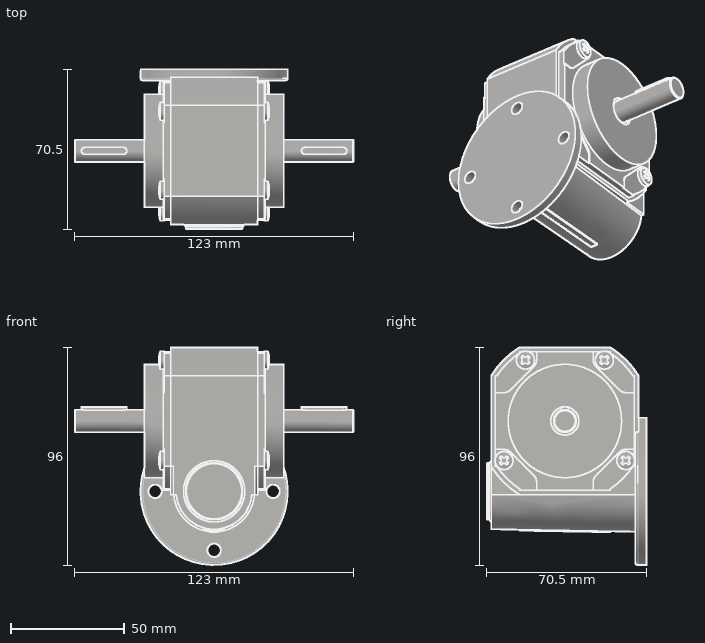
import cadquery as cq
import math


HOUSING_HALF_WIDTH = 19.2
HOUSING_HALF_SIZE = 32.5
CORNER_START = 20.0

COVER_HALF_SIZE = 30.6
COVER_CORNER_RADIUS = 36.0
COVER_FACE_X = 22.5
PAD_RECESS_DEPTH = 0.5
PAD_EDGE = 12.5
PAD_DIAGONAL_START = 25.2
PAD_FILLET = 4.0
HUB_DIAMETER = 50.0
HUB_FACE_X = 30.75
HUB_BORE_DIAMETER = 12.4
HUB_BORE_DEPTH = 0.8

SHAFT_DIAMETER = 10.0
SHAFT_LENGTH = 123.0
SHAFT_CHAMFER = 0.4
KEY_LENGTH = 20.0
KEY_WIDTH = 3.0
KEY_TOP_Z = 6.2
KEY_DEPTH = 3.0
KEY_END_GAP = 3.0

SCREW_NEAR = 17.4
SCREW_FAR = 26.85
SCREW_HEAD_DIAMETER = 8.0
SCREW_RIM_HEIGHT = 1.7
SCREW_DOME_HEIGHT = 0.75
RECESS_SPAN = 4.4
RECESS_ARM_WIDTH = 1.1
RECESS_CENTRE_SIZE = 2.6
RECESS_DEPTH = 1.2

INPUT_AXIS_Z = -31.0
BARREL_HALF_WIDTH = 18.0
BARREL_FRONT_RADIUS = 16.75
BARREL_DRAFT_ANGLE = 1.0
BARREL_RIB_LENGTH = 40.0
BARREL_RIB_WIDTH = 3.4
BARREL_RIB_HEIGHT = 0.4

FLANGE_DIAMETER = 65.0
FLANGE_FACE_Y = 36.0
FLANGE_THICKNESS = 5.0
FLANGE_FILLET = 1.0
FLANGE_HOLE_DIAMETER = 5.8
FLANGE_HOLE_CIRCLE_RADIUS = 26.0
FLANGE_HOLE_COUNT = 4

CAP_BASE_RADIUS = 13.5
CAP_RADIUS = 12.6
CAP_BASE_HEIGHT = 0.8
CAP_HEIGHT = 2.0
CAP_CHAMFER = 0.4


def rounded_block(half_size, corner_start, corner_radius, half_width):
    """Block centred on X whose square YZ outline is cut by a circle at the corners."""
    block = cq.Workplane("YZ").rect(2 * half_size, 2 * half_size).extrude(half_width, both=True)
    disc = cq.Workplane("YZ").circle(corner_radius).extrude(half_width, both=True)
    notch_size = half_size - corner_start
    notch_centre = (half_size + corner_start) / 2
    corners = (
        cq.Workplane("YZ")
        .rect(2 * notch_centre, 2 * notch_centre, forConstruction=True)
        .vertices()
        .rect(notch_size, notch_size)
        .extrude(half_width, both=True)
    )
    return block.cut(corners.cut(disc))


def make_housing():
    """Rounded block whose lower rear corner stays square to meet the flange."""
    corner_radius = math.hypot(HOUSING_HALF_SIZE, CORNER_START)
    block = rounded_block(HOUSING_HALF_SIZE, CORNER_START, corner_radius, HOUSING_HALF_WIDTH)
    corner_size = HOUSING_HALF_SIZE - CORNER_START
    square_corner = cq.Workplane("XY").box(2 * HOUSING_HALF_WIDTH, corner_size, corner_size)
    corner_centre = (HOUSING_HALF_SIZE + CORNER_START) / 2
    return block.union(square_corner.translate((0, corner_centre, -corner_centre)))


def make_pad_recess():
    """Recess around the screw in the +Y +Z corner of the +X cover."""
    outer = HOUSING_HALF_SIZE
    recess = (
        cq.Workplane("YZ", origin=(COVER_FACE_X - PAD_RECESS_DEPTH, 0, 0))
        .moveTo(PAD_EDGE, outer)
        .lineTo(PAD_EDGE, PAD_DIAGONAL_START)
        .lineTo(PAD_DIAGONAL_START, PAD_EDGE)
        .lineTo(outer, PAD_EDGE)
        .lineTo(outer, outer)
        .close()
        .extrude(PAD_RECESS_DEPTH)
    )
    box_side = (PAD_DIAGONAL_START + outer) / 2
    diagonal_ends = cq.selectors.BoxSelector((0, 0, 0), (HUB_FACE_X, box_side, box_side))
    return recess.edges("|X").edges(diagonal_ends).fillet(PAD_FILLET)


def make_covers():
    covers = rounded_block(COVER_HALF_SIZE, CORNER_START, COVER_CORNER_RADIUS, COVER_FACE_X)
    recess = make_pad_recess()
    recess = recess.union(recess.mirror("XZ"))
    recess = recess.union(recess.mirror("XY"))
    recess = recess.union(recess.mirror("YZ"))
    bore_floor_x = HUB_FACE_X - HUB_BORE_DEPTH
    hubs = cq.Workplane("YZ").circle(HUB_DIAMETER / 2).extrude(HUB_FACE_X, both=True)
    bores = cq.Workplane("YZ").circle(HUB_BORE_DIAMETER / 2).extrude(HUB_FACE_X, both=True)
    core = cq.Workplane("YZ").circle(HUB_BORE_DIAMETER / 2).extrude(bore_floor_x, both=True)
    bores = bores.cut(core)
    return covers.cut(recess).union(hubs).cut(bores)


def make_shaft():
    half_length = SHAFT_LENGTH / 2
    shaft = (
        cq.Workplane("YZ")
        .circle(SHAFT_DIAMETER / 2)
        .extrude(half_length, both=True)
        .faces("<X or >X")
        .chamfer(SHAFT_CHAMFER)
    )
    key_centre_x = half_length - KEY_END_GAP - KEY_LENGTH / 2
    keys = (
        cq.Workplane("XY", origin=(0, 0, KEY_TOP_Z - KEY_DEPTH))
        .pushPoints([(-key_centre_x, 0), (key_centre_x, 0)])
        .slot2D(KEY_LENGTH, KEY_WIDTH)
        .extrude(KEY_DEPTH)
    )
    return shaft.union(keys)


def make_screw():
    """Domed screw head standing along +X from the origin, with a cross recess."""
    radius = SCREW_HEAD_DIAMETER / 2
    height = SCREW_RIM_HEIGHT + SCREW_DOME_HEIGHT
    dome_radius = (radius**2 + SCREW_DOME_HEIGHT**2) / (2 * SCREW_DOME_HEIGHT)
    head = cq.Workplane("YZ").circle(radius).extrude(height)
    dome = cq.Workplane("YZ").sphere(dome_radius).translate((height - dome_radius, 0, 0))
    floor = cq.Workplane("YZ", origin=(height - RECESS_DEPTH, 0, 0))
    recess = floor.rect(RECESS_SPAN, RECESS_ARM_WIDTH).extrude(RECESS_DEPTH)
    recess = recess.union(floor.rect(RECESS_ARM_WIDTH, RECESS_SPAN).extrude(RECESS_DEPTH))
    recess = recess.rotate((0, 0, 0), (1, 0, 0), 45)
    recess = recess.union(floor.rect(RECESS_CENTRE_SIZE, RECESS_CENTRE_SIZE).extrude(RECESS_DEPTH))
    return head.intersect(dome).cut(recess)


def make_screws():
    seat_x = COVER_FACE_X - PAD_RECESS_DEPTH
    screw = make_screw().translate((seat_x, 0, 0))
    screws = cq.Workplane("YZ")
    for side in (-1, 1):
        screws = screws.add(screw.translate((0, side * SCREW_NEAR, SCREW_FAR)))
        screws = screws.add(screw.translate((0, side * SCREW_FAR, -SCREW_NEAR)))
    screws = screws.combine()
    return screws.union(screws.mirror("YZ"))


def make_barrel():
    """Block down to the housing floor, continued by a drafted cylinder around the input axis."""
    length = 2 * HOUSING_HALF_SIZE
    draft_slope = math.tan(math.radians(BARREL_DRAFT_ANGLE))
    back_radius = BARREL_FRONT_RADIUS + length * draft_slope
    block = cq.Workplane("XY", origin=(0, 0, -HOUSING_HALF_SIZE / 2)).box(
        2 * BARREL_HALF_WIDTH, length, HOUSING_HALF_SIZE
    )
    cone = cq.Workplane(
        cq.Solid.makeCone(
            BARREL_FRONT_RADIUS,
            back_radius,
            length,
            cq.Vector(0, -HOUSING_HALF_SIZE, INPUT_AXIS_Z),
            cq.Vector(0, 1, 0),
        )
    )
    mid_radius = (BARREL_FRONT_RADIUS + back_radius) / 2
    rise = BARREL_RIB_LENGTH / 2 * draft_slope
    half_rib = BARREL_RIB_LENGTH / 2
    rib_bottom = INPUT_AXIS_Z - mid_radius - BARREL_RIB_HEIGHT
    rib = (
        cq.Workplane("YZ")
        .moveTo(-half_rib, INPUT_AXIS_Z)
        .lineTo(-half_rib, rib_bottom + rise)
        .lineTo(half_rib, rib_bottom - rise)
        .lineTo(half_rib, INPUT_AXIS_Z)
        .close()
        .extrude(BARREL_RIB_WIDTH / 2, both=True)
    )
    return block.union(cone).union(rib)


def make_flange():
    back_plane = cq.Workplane("XZ", origin=(0, FLANGE_FACE_Y, INPUT_AXIS_Z))
    return (
        back_plane.circle(FLANGE_DIAMETER / 2)
        .extrude(FLANGE_THICKNESS)
        .faces("<Y")
        .edges()
        .fillet(FLANGE_FILLET)
    )


def make_flange_holes():
    """Mounting holes, as deep as the flange is thick."""
    return (
        cq.Workplane("XZ", origin=(0, FLANGE_FACE_Y, INPUT_AXIS_Z))
        .polarArray(FLANGE_HOLE_CIRCLE_RADIUS, 0, 360, FLANGE_HOLE_COUNT)
        .circle(FLANGE_HOLE_DIAMETER / 2)
        .extrude(FLANGE_THICKNESS)
    )


def make_cap():
    """Bearing cap with a sloped base, standing on the housing front."""
    outline = (
        cq.Workplane("XY")
        .moveTo(0, 0)
        .lineTo(CAP_BASE_RADIUS, 0)
        .lineTo(CAP_RADIUS, -CAP_BASE_HEIGHT)
        .lineTo(CAP_RADIUS, -CAP_HEIGHT + CAP_CHAMFER)
        .lineTo(CAP_RADIUS - CAP_CHAMFER, -CAP_HEIGHT)
        .lineTo(0, -CAP_HEIGHT)
        .close()
    )
    cap = outline.revolve(360, (0, 0, 0), (0, 1, 0))
    return cap.translate((0, -HOUSING_HALF_SIZE, INPUT_AXIS_Z))


result = (
    make_housing()
    .union(make_covers())
    .union(make_shaft())
    .union(make_screws())
    .union(make_barrel())
    .union(make_flange())
    .union(make_cap())
    .cut(make_flange_holes())
)